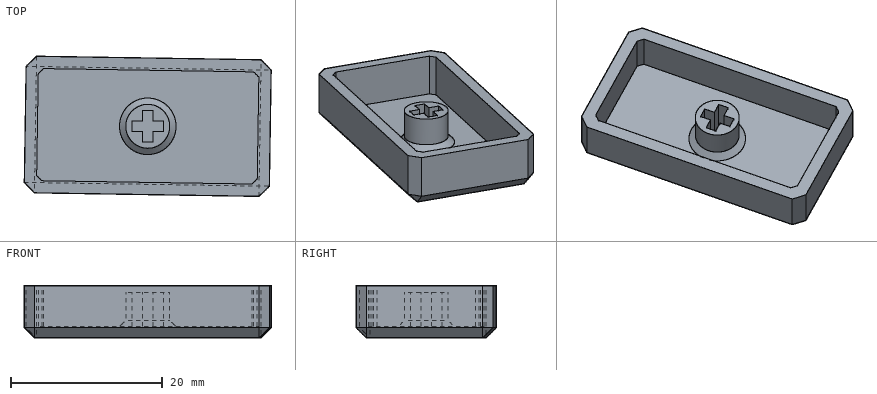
import cadquery as cq

length = 32.35
width = 18.05
height = 6.9
turn_angle = -0.9
edge_chamfer = 1.37
wall = 1.63
floor_thickness = 1.5
pocket_corner_chamfer = 0.7
corner_signs = [(1, 1), (-1, 1), (-1, -1), (1, -1)]

stem_diameter = 5.8
stem_top = 6.0
foot_diameter = 7.45
foot_height = (foot_diameter - stem_diameter) / 2
cross_span = 4.2
cross_slot_width = 1.37


def make_upper_block():
    """Straight-sided block with chamfered vertical corners, above the bottom bevel."""
    return (
        cq.Workplane("XY", origin=(0, 0, edge_chamfer))
        .rect(length, width)
        .extrude(height - edge_chamfer)
        .edges("|Z")
        .chamfer(edge_chamfer)
    )


def polygon_face(points):
    return cq.Face.makeFromWires(cq.Wire.makePolygon(points, close=True))


def make_bevelled_base():
    """Tapered base whose triangular corner facets end at the corners of a rectangular underside."""
    half_x = length / 2
    half_y = width / 2
    inset_x = half_x - edge_chamfer
    inset_y = half_y - edge_chamfer
    underside = [cq.Vector(sx * inset_x, sy * inset_y, 0) for sx, sy in corner_signs]
    facets = [polygon_face(underside)]
    shoulder = []
    for index, (sx, sy) in enumerate(corner_signs):
        ends = [
            cq.Vector(sx * half_x, sy * inset_y, edge_chamfer),
            cq.Vector(sx * inset_x, sy * half_y, edge_chamfer),
        ]
        if sx != sy:
            ends.reverse()
        shoulder += ends
        facets.append(polygon_face([underside[index], *ends]))
    for index in range(len(corner_signs)):
        side = [underside[index - 1], underside[index], shoulder[2 * index], shoulder[2 * index - 1]]
        facets.append(polygon_face(side))
    facets.append(polygon_face(shoulder))
    return cq.Workplane(cq.Solid.makeSolid(cq.Shell.makeShell(facets)))


def make_tray():
    outer = make_bevelled_base().union(make_upper_block())
    pocket = (
        cq.Workplane("XY", origin=(0, 0, floor_thickness))
        .rect(length - 2 * wall, width - 2 * wall)
        .extrude(height - floor_thickness)
        .edges("|Z")
        .chamfer(pocket_corner_chamfer)
    )
    return outer.cut(pocket).rotate((0, 0, 0), (0, 0, 1), turn_angle)


def make_stem():
    """Revolved post whose conical foot stands on the tray floor."""
    return (
        cq.Workplane("XZ")
        .moveTo(0, floor_thickness)
        .lineTo(foot_diameter / 2, floor_thickness)
        .lineTo(stem_diameter / 2, floor_thickness + foot_height)
        .lineTo(stem_diameter / 2, stem_top)
        .lineTo(0, stem_top)
        .close()
        .revolve(360, (0, 0, 0), (0, 1, 0))
    )


def make_cross_socket():
    """Cross-shaped socket reaching down to the tray floor."""
    base = cq.Workplane("XY", origin=(0, 0, floor_thickness))
    depth = stem_top - floor_thickness
    slot_x = base.rect(cross_span, cross_slot_width).extrude(depth)
    slot_y = base.rect(cross_slot_width, cross_span).extrude(depth)
    return slot_x.union(slot_y)


result = make_tray().union(make_stem()).cut(make_cross_socket())